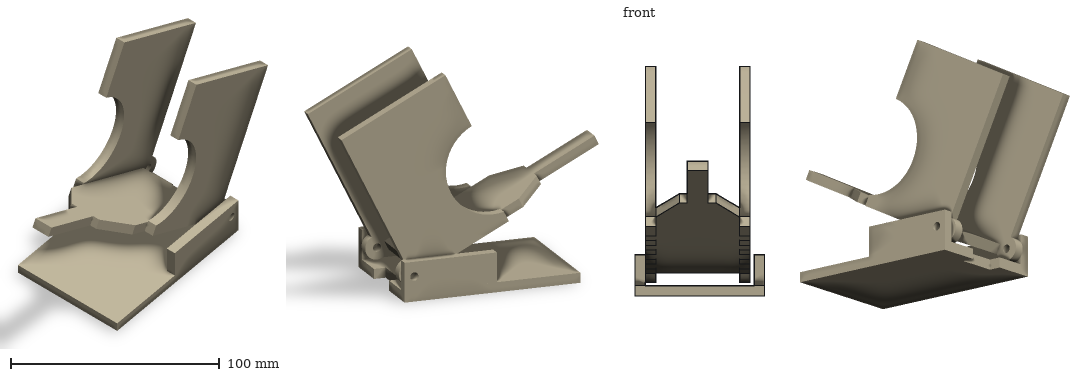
import cadquery as cq
import math

overall_length = 139.5

sheet = 5.0
tab_length = sheet
tab_pitch = 2 * sheet
hole_diameter = 4.2

base_width = 62.0
base_length = 90.1
notch_width = 20.0
notch_depth = 6.0

bracket_length = 47.3
bracket_height = 20.0
bracket_tab_count = 3
bracket_first_tab = 17.4

pivot_back_offset = 5.0
pivot_height = 12.5
tilt_angle = 26.6

plate_spacing = 40.0
plate_bottom = -4.0
plate_top = 79.0
plate_depth = 59.5
toe_depth = 54.2
recess_radius = 24.0
recess_centre_height = 25.0
lobe_radius = 6.0

tray_back = 4.6
tray_first_tab = 9.3
tray_tab_count = 4
taper_start = 64.5
taper_end = 79.6
taper_width = 11.3
handle_width = 10.0

base_left = -base_width / 2
base_back = base_length / 2
plate_left = base_left + sheet
tray_left = plate_left + sheet
tray_right = tray_left + plate_spacing
tray_middle = (tray_left + tray_right) / 2
tilt_radians = math.radians(tilt_angle)
tray_tip = (overall_length - (plate_top - plate_bottom) * math.sin(tilt_radians)) / math.cos(tilt_radians)
pivot_y = base_back - pivot_back_offset
bracket_lefts = [base_left, -base_left - sheet]
plate_lefts = [plate_left, tray_right]


def block(left, right, front, back, bottom, top):
    """A box given by its six bounding planes."""
    size = (right - left, back - front, top - bottom)
    return cq.Workplane("XY").box(*size, centered=False).translate((left, front, bottom))


def tab_row(left, start, count, bottom):
    """Evenly spaced square tabs, running toward -Y from `start`, one sheet thick."""
    tabs = cq.Workplane("XY")
    for index in range(count):
        back = start - index * tab_pitch
        tabs = tabs.add(block(left, left + sheet, back - tab_length, back, bottom, bottom + sheet))
    return tabs.combine()


def cross_hole(left, y, z):
    """The pivot hole through one sheet lying in a YZ plane."""
    hole = cq.Workplane("YZ", origin=(left, y, z)).circle(hole_diameter / 2)
    return hole.extrude(sheet)


def bracket_tabs(left):
    return tab_row(left, base_back - bracket_first_tab, bracket_tab_count, 0)


def tray_tabs(left):
    return tab_row(left, -tray_first_tab, tray_tab_count, plate_bottom)


def tilt(body):
    """Tilt a cradle body about the pivot, front end up, and set it in place."""
    turned = body.rotate((0, 0, 0), (1, 0, 0), -tilt_angle)
    return turned.translate((0, pivot_y, pivot_height))


def make_base():
    base = block(base_left, -base_left, -base_back, base_back, 0, sheet)
    notch = block(-notch_width / 2, notch_width / 2, base_back - notch_depth, base_back, 0, sheet)
    base = base.cut(notch)
    for left in bracket_lefts:
        base = base.cut(bracket_tabs(left))
    return base


def make_bracket(left):
    front = base_back - bracket_length
    wall = block(left, left + sheet, front, base_back, sheet, bracket_height)
    bracket = wall.union(bracket_tabs(left))
    return bracket.cut(cross_hole(left, pivot_y, pivot_height))


def make_side_plate(left):
    """A side plate, shaped with the pivot at Y = Z = 0 on its rear edge and then tilted into place."""
    plane = cq.Workplane("YZ", origin=(left, 0, 0))
    panel = block(left, left + sheet, -plate_depth, 0, plate_bottom, plate_top)
    recess = plane.center(-plate_depth, recess_centre_height).circle(recess_radius).extrude(sheet)
    toe_trim = block(left, left + sheet, -plate_depth, -toe_depth, plate_bottom, recess_centre_height)
    lobe = plane.circle(lobe_radius).extrude(sheet)
    plate = panel.cut(recess).cut(toe_trim).union(lobe)
    plate = plate.cut(cross_hole(left, 0, 0)).cut(tray_tabs(left))
    return tilt(plate)


def make_tray():
    half_handle = handle_width / 2
    outline = [
        (tray_left, -tray_back),
        (tray_left, -taper_start),
        (tray_left + taper_width, -taper_end),
        (tray_middle - half_handle, -taper_end),
        (tray_middle - half_handle, -tray_tip),
        (tray_middle + half_handle, -tray_tip),
        (tray_middle + half_handle, -taper_end),
        (tray_right - taper_width, -taper_end),
        (tray_right, -taper_start),
        (tray_right, -tray_back),
    ]
    tray = cq.Workplane("XY", origin=(0, 0, plate_bottom)).polyline(outline).close().extrude(sheet)
    for left in plate_lefts:
        tray = tray.union(tray_tabs(left))
    return tilt(tray)


base = make_base()
brackets = [make_bracket(left) for left in bracket_lefts]
side_plates = [make_side_plate(left) for left in plate_lefts]
tray = make_tray()

result = cq.Compound.makeCompound(
    [
        base.val(),
        *[bracket.val() for bracket in brackets],
        *[plate.val() for plate in side_plates],
        tray.val(),
    ]
)